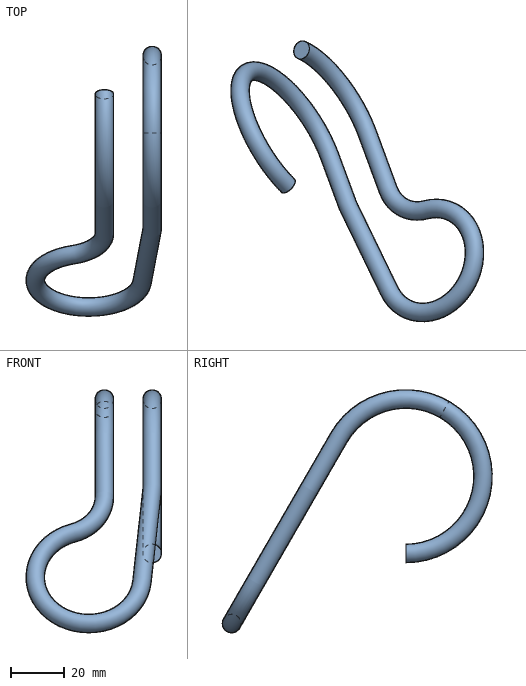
import cadquery as cq
import math

wire_diameter = 7.0
hook_radius = 28.9
loop_radius = 20.0
neck_radius = 16.5
leg_spacing = 17.9
loop_offset = 23.8
loop_depth = 60.4
long_leg_length = 22.1
slope_angle = 60
long_hook_sweep = 240
short_hook_sweep = 90

slope = math.radians(slope_angle)
hook_start = 90 - slope_angle

short_leg_x = -leg_spacing
loop_x = -loop_offset


def on_hook(x, angle):
    """Point on a hook centreline, angle in degrees from -Y toward +Z."""
    a = math.radians(angle)
    return cq.Vector(x, -hook_radius * math.cos(a), hook_radius * math.sin(a))


def on_slope(x, depth):
    """Point in the sloping leg plane, at a distance below the hook tangent line."""
    down = cq.Vector(0, -math.cos(slope), -math.sin(slope))
    return on_hook(x, hook_start) + down * depth


def on_arc(centre_x, centre_depth, radius, angle):
    """Point on an arc in the leg plane, angle in radians from +X toward the hooks."""
    return on_slope(centre_x + radius * math.cos(angle), centre_depth - radius * math.sin(angle))


def arc(centre_x, centre_depth, radius, start, end):
    angles = (start, (start + end) / 2, end)
    return cq.Edge.makeThreePointArc(*[on_arc(centre_x, centre_depth, radius, a) for a in angles])


def hook(x, start, end):
    return cq.Edge.makeThreePointArc(*[on_hook(x, a) for a in (start, (start + end) / 2, end)])


neck_x = short_leg_x - neck_radius
centre_distance = loop_radius + neck_radius
join_angle = math.acos((neck_x - loop_x) / centre_distance)
neck_depth = loop_depth - centre_distance * math.sin(join_angle)

lean_rise = loop_depth - long_leg_length
lean_angle = math.atan2(lean_rise, loop_offset) - math.acos(loop_radius / math.hypot(loop_offset, lean_rise))
lean_start = on_slope(0, long_leg_length)
lean_end = on_arc(loop_x, loop_depth, loop_radius, lean_angle)

centreline = cq.Wire.assembleEdges([
    hook(short_leg_x, hook_start + short_hook_sweep, hook_start),
    cq.Edge.makeLine(on_slope(short_leg_x, 0), on_slope(short_leg_x, neck_depth)),
    arc(neck_x, neck_depth, neck_radius, 0, join_angle - math.pi),
    arc(loop_x, loop_depth, loop_radius, join_angle, lean_angle + 2 * math.pi),
    cq.Edge.makeLine(lean_end, lean_start),
    cq.Edge.makeLine(lean_start, on_slope(0, 0)),
    hook(0, hook_start, hook_start + long_hook_sweep),
])

tip_plane = cq.Plane(
    origin=centreline.startPoint().toTuple(),
    xDir=(1, 0, 0),
    normal=centreline.tangentAt(0).toTuple(),
)
result = (
    cq.Workplane(tip_plane)
    .circle(wire_diameter / 2)
    .sweep(cq.Workplane(centreline), transition="right")
)